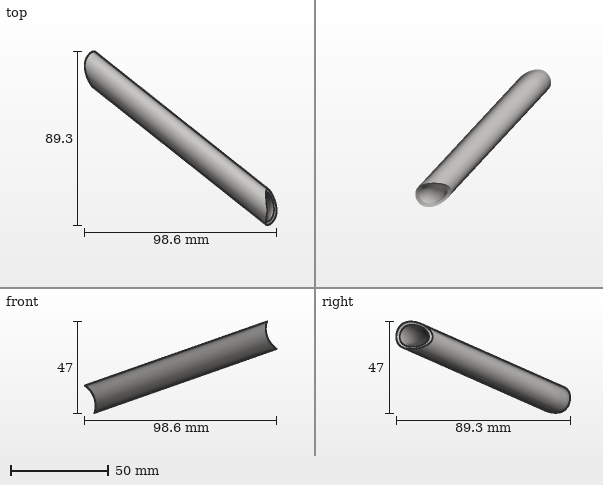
import cadquery as cq
import math

outer_radius = 7.5
inner_radius = 6.0
rise_angle = 19.36
swing_angle = 38.45

cope_radius = 12.5
overall_length = 98.6
blank_length = 197.2
cope_width = 197.2

rise = math.radians(rise_angle)
corner_offset = (overall_length / 2 - outer_radius * math.sin(rise)) / math.cos(rise)
axis_direction = cq.Vector(1, -math.tan(math.radians(swing_angle)), math.tan(rise)).normalized()


def axial_cylinder(radius):
    """Cylinder along the tube axis, centred on the origin."""
    start = axis_direction * (-blank_length / 2)
    return cq.Workplane(cq.Solid.makeCylinder(radius, blank_length, start, axis_direction))


def between_copes(body):
    """Keep the tube between the two cope cylinders."""
    cope_offset = corner_offset + math.sqrt(cope_radius**2 - outer_radius**2)
    slab = cq.Workplane("XY").box(2 * cope_offset, cope_width, cope_width)
    body = body.intersect(slab.rotate((0, 0, 0), (0, 1, 0), -rise_angle))
    for side in (-1, 1):
        center_x = side * cope_offset * math.cos(rise)
        center_z = side * cope_offset * math.sin(rise)
        start = cq.Vector(center_x, -cope_width / 2, center_z)
        cope = cq.Solid.makeCylinder(cope_radius, cope_width, start, cq.Vector(0, 1, 0))
        body = body.cut(cq.Workplane(cope))
    return body


tube = axial_cylinder(outer_radius).cut(axial_cylinder(inner_radius))
result = between_copes(tube)